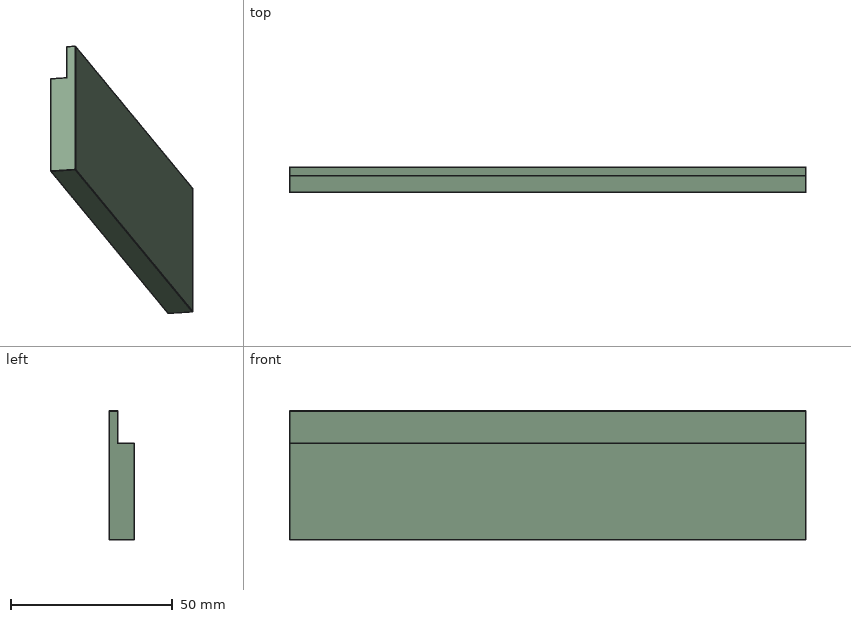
import cadquery as cq

length = 160.0
thickness = 8.0
height = 40.0

lip_height = height / 4
lip_thickness = 2.9
step_z = height / 2 - lip_height
lip_front_y = thickness / 2 - lip_thickness

edge_chamfer = 0.2
corner_search_size = edge_chamfer


def rabbeted_bar():
    """L-shaped section, centred on the origin and extruded along X."""
    front_y = -thickness / 2
    back_y = thickness / 2
    bottom_z = -height / 2
    top_z = height / 2
    section = [
        (front_y, bottom_z),
        (back_y, bottom_z),
        (back_y, top_z),
        (lip_front_y, top_z),
        (lip_front_y, step_z),
        (front_y, step_z),
    ]
    return cq.Workplane("YZ").polyline(section).close().extrude(length / 2, both=True)


def inner_corner_selector():
    """Box around the middle of the concave edge where the lip meets the step."""
    reach = corner_search_size / 2
    return cq.selectors.BoxSelector(
        (-reach, lip_front_y - reach, step_z - reach),
        (reach, lip_front_y + reach, step_z + reach),
    )


bar = rabbeted_bar()
outer_edges = bar.edges(cq.selectors.InverseSelector(inner_corner_selector()))
result = outer_edges.chamfer(edge_chamfer)